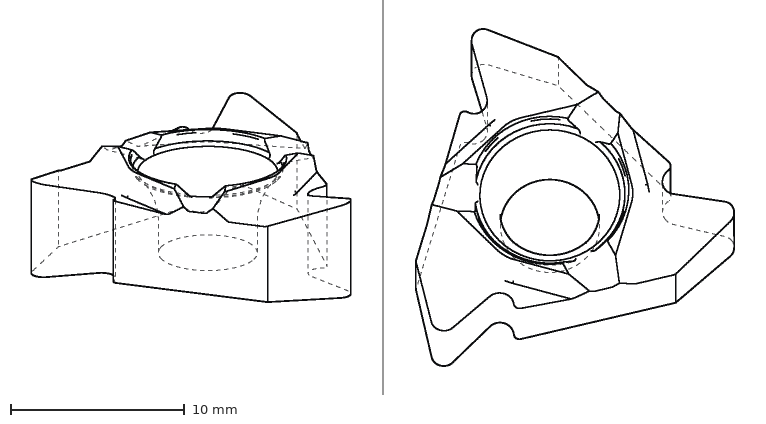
import cadquery as cq
import math

LOBES = 3
LOBE_STEP = 360 / LOBES

FLOOR_Z = 4.65
SLOT_Z = 5.0
TOP_Z = 5.83
CLEARANCE = 1.85

WIDTH_X = 17.51
LENGTH_Y = 18.57

FLAT_DISTANCE = 6.35
TIP_RADIUS = 0.72
SIN_60 = math.sin(math.radians(60))
COS_60 = 0.5
TIP_Y = -(WIDTH_X - 2 * TIP_RADIUS) / (2 * SIN_60)
TIP_X = -(LENGTH_Y - 2 * TIP_RADIUS + (1 + COS_60) * TIP_Y) / SIN_60
FLANK_HALF_ANGLE = math.radians(28.2)
NOTCH_RADIUS = 0.8
NOTCH_TOP_Y = -6.48
NOSE_RADIUS = 0.33

LOBE_CREASE_Y = -5.7
LOBE_SLOPE = math.radians(15)
CREASE_RADIUS = 0.5

FOOT_CORNER = (-1.0, -5.59)
FOOT_OUTER = (6.46, -5.59)
TOP_CORNER = (-1.4, -4.66)
TOP_OUTER = (4.74, -4.66)
FOOT_RADIUS = 0.19
CORNER_RADIUS = 2.6

SLOT_ANGLE = 194.0
SLOT_WIDTH = 1.05
SLOT_SIDE_ANGLE = math.radians(42)
SLOT_CORNER_RADIUS = 0.19

BORE_RADIUS = 5.7 / 2
THROAT_START_Z = 2.05
THROAT_RADIUS = 3.92
RIM_RADIUS = 4.03
RIM_DROP = 0.19
LEDGE_Z = SLOT_Z
LEDGE_RADIUS = 4.12
RECESS_FOOT_RADIUS = 4.33
RECESS_FOOT_RISE = 0.22
LIP_START_RADIUS = 4.44
LIP_DROP = 0.13
LIP_RADIUS = 4.55

PICK_MARGIN = 0.02


def polar(radius, angle):
    return (radius * math.cos(angle), radius * math.sin(angle))


def turn(point, degrees):
    angle = math.radians(degrees)
    x, y = point
    return (
        x * math.cos(angle) - y * math.sin(angle),
        x * math.sin(angle) + y * math.cos(angle),
    )


def around_axis(body):
    """The three copies of a body, one per lobe."""
    return [body.rotate((0, 0, 0), (0, 0, 1), i * LOBE_STEP) for i in range(LOBES)]


def lobe_outline():
    """Points of one lobe: flat end, tip arc, notch arc and the sharp nose."""
    cos_half = math.cos(FLANK_HALF_ANGLE)
    sin_half = math.sin(FLANK_HALF_ANGLE)
    tip_left = (TIP_X - TIP_RADIUS * cos_half, TIP_Y - TIP_RADIUS * sin_half)
    tip_right = (TIP_X + TIP_RADIUS * cos_half, tip_left[1])
    tip_bottom = (TIP_X, TIP_Y - TIP_RADIUS)

    flank_rise = (tip_left[0] + FLAT_DISTANCE) / math.tan(FLANK_HALF_ANGLE)
    flat_end = (-FLAT_DISTANCE, tip_left[1] + flank_rise)

    notch_y = NOTCH_TOP_Y - NOTCH_RADIUS
    centre_gap = TIP_RADIUS + NOTCH_RADIUS
    notch_x = TIP_X + (centre_gap + (notch_y - TIP_Y) * sin_half) / cos_half
    notch_left = (notch_x - NOTCH_RADIUS * cos_half, notch_y + NOTCH_RADIUS * sin_half)
    notch_top = (notch_x, NOTCH_TOP_Y)

    flat_normal = math.radians(180 + LOBE_STEP)
    centre_depth = FLAT_DISTANCE - notch_x * math.cos(flat_normal) - notch_y * math.sin(flat_normal)
    nose_angle = flat_normal + math.acos(centre_depth / NOTCH_RADIUS)
    nose_dx, nose_dy = polar(NOTCH_RADIUS, nose_angle)
    nose = (notch_x + nose_dx, notch_y + nose_dy)
    return flat_end, tip_left, tip_bottom, tip_right, notch_left, notch_top, nose


def make_prism():
    """Straight-walled body with the full outline."""
    outline = lobe_outline()
    nose = outline[-1]
    path = cq.Workplane("XY").moveTo(*outline[0])
    for i in range(LOBES):
        turned = [turn(point, i * LOBE_STEP) for point in outline]
        flat_end, tip_left, tip_bottom, tip_right, notch_left, notch_top, nose_point = turned
        if i > 0:
            path = path.lineTo(*flat_end)
        path = path.lineTo(*tip_left).threePointArc(tip_bottom, tip_right)
        path = path.lineTo(*notch_left).threePointArc(notch_top, nose_point)
    prism = path.close().extrude(TOP_Z)
    for i in range(LOBES):
        x, y = turn(nose, i * LOBE_STEP)
        prism = prism.edges(cq.selectors.NearestToPointSelector((x, y, TOP_Z / 2))).fillet(NOSE_RADIUS)
    return prism


def make_boss():
    """Floor slab with the tapered centre boss, its foot rounded into the floor."""
    reach = 2 * FLAT_DISTANCE
    foot = []
    top = []
    for i in range(LOBES):
        foot += [turn(FOOT_CORNER, i * LOBE_STEP), turn(FOOT_OUTER, i * LOBE_STEP)]
        top += [turn(TOP_CORNER, i * LOBE_STEP), turn(TOP_OUTER, i * LOBE_STEP)]
    mid_corner = ((FOOT_CORNER[0] + TOP_CORNER[0]) / 2, (FOOT_CORNER[1] + TOP_CORNER[1]) / 2)
    boss = (
        cq.Workplane("XY", origin=(0, 0, FLOOR_Z))
        .polyline(foot).close()
        .workplane(offset=TOP_Z - FLOOR_Z)
        .polyline(top).close()
        .loft(ruled=True)
    )
    for i in range(LOBES):
        x, y = turn(mid_corner, i * LOBE_STEP)
        corner_edge = cq.selectors.NearestToPointSelector((x, y, (FLOOR_Z + TOP_Z) / 2))
        boss = boss.edges(corner_edge).fillet(CORNER_RADIUS)
    slab = cq.Workplane("XY").circle(reach).extrude(FLOOR_Z)
    foot_edges = cq.selectors.BoxSelector(
        (-reach, -reach, FLOOR_Z - PICK_MARGIN),
        (reach, reach, FLOOR_Z + PICK_MARGIN),
    )
    return slab.union(boss).edges(foot_edges).edges("not %CIRCLE").fillet(FOOT_RADIUS)


def make_lobe_ramp():
    """Wedge under one sloped lobe top, blended into the floor along the crease."""
    half_length = 2 * FLAT_DISTANCE
    run = (TOP_Z - FLOOR_Z + CLEARANCE) / math.tan(LOBE_SLOPE)
    blend = CREASE_RADIUS * math.tan(LOBE_SLOPE / 2)
    blend_centre = (LOBE_CREASE_Y + blend, FLOOR_Z + CREASE_RADIUS)
    mid_angle = math.radians(-90) - LOBE_SLOPE / 2
    mid_dy, mid_dz = polar(CREASE_RADIUS, mid_angle)
    blend_mid = (blend_centre[0] + mid_dy, blend_centre[1] + mid_dz)
    blend_end = (LOBE_CREASE_Y - blend * math.cos(LOBE_SLOPE), FLOOR_Z + blend * math.sin(LOBE_SLOPE))
    return (
        cq.Workplane("YZ")
        .moveTo(blend_centre[0], 0)
        .lineTo(blend_centre[0], FLOOR_Z)
        .threePointArc(blend_mid, blend_end)
        .lineTo(LOBE_CREASE_Y - run, FLOOR_Z + run * math.tan(LOBE_SLOPE))
        .lineTo(LOBE_CREASE_Y - run, 0)
        .close()
        .extrude(half_length, both=True)
    )


def make_slot():
    """Open-topped slot with sloped sides, running outward from the axis."""
    height = TOP_Z - SLOT_Z + CLEARANCE
    half_floor = SLOT_WIDTH / 2
    half_top = half_floor + height / math.tan(SLOT_SIDE_ANGLE)
    slot = (
        cq.Workplane("YZ")
        .moveTo(-half_floor, SLOT_Z)
        .lineTo(half_floor, SLOT_Z)
        .lineTo(half_top, SLOT_Z + height)
        .lineTo(-half_top, SLOT_Z + height)
        .close()
        .extrude(2 * FLAT_DISTANCE)
        .faces("<Z").edges("|X").fillet(SLOT_CORNER_RADIUS)
    )
    return slot.rotate((0, 0, 0), (0, 0, 1), SLOT_ANGLE)


def make_screw_hole():
    """Solid that fills the screw hole, revolved about the Z axis."""
    throat_end_z = LEDGE_Z - RIM_DROP
    flare = THROAT_RADIUS - BORE_RADIUS
    rise = throat_end_z - THROAT_START_Z
    arc_radius = (flare ** 2 + rise ** 2) / (2 * flare)
    mid_angle = math.asin(rise / arc_radius) / 2
    throat_mid = (
        BORE_RADIUS + arc_radius * (1 - math.cos(mid_angle)),
        THROAT_START_Z + arc_radius * math.sin(mid_angle),
    )
    return (
        cq.Workplane("XZ")
        .lineTo(BORE_RADIUS, 0)
        .lineTo(BORE_RADIUS, THROAT_START_Z)
        .threePointArc(throat_mid, (THROAT_RADIUS, throat_end_z))
        .lineTo(RIM_RADIUS, LEDGE_Z)
        .lineTo(LEDGE_RADIUS, LEDGE_Z)
        .tangentArcPoint((RECESS_FOOT_RADIUS, LEDGE_Z + RECESS_FOOT_RISE), relative=False)
        .lineTo(LIP_START_RADIUS, TOP_Z - LIP_DROP)
        .tangentArcPoint((LIP_RADIUS, TOP_Z), relative=False)
        .lineTo(0, TOP_Z)
        .close()
        .revolve(360, (0, 0, 0), (0, 1, 0))
    )


top_form = make_boss()
for ramp in around_axis(make_lobe_ramp()):
    top_form = top_form.union(ramp)

result = make_prism().intersect(top_form)
for slot in around_axis(make_slot()):
    result = result.cut(slot)
result = result.cut(make_screw_hole())